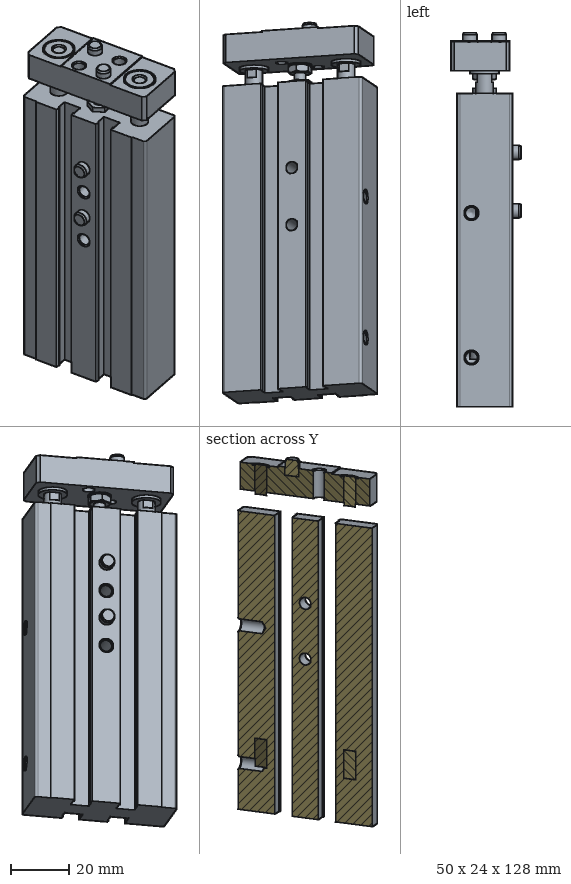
import cadquery as cq
import math


HOUSING_WIDTH = 50.0
HOUSING_DEPTH = 18.8
HOUSING_HEIGHT = 107.3
HOUSING_CORNER_RADIUS = 0.9
LAND_WIDTH = 39.0
LAND_HEIGHT = 0.32
GROOVE_SPACING = 16.1
GROOVE_MOUTH = 6.1
GROOVE_GAP = 5.6
GROOVE_LIP = 1.5
GROOVE_CHAMBER = 6.4
GROOVE_DEPTH = 5.2
HOUSING_BACK = HOUSING_DEPTH / 2
LAND_FACE = HOUSING_BACK + LAND_HEIGHT

THREAD_DIAMETER = 4.1
HOLE_MOUTH_DIAMETER = 5.0
MOUTH_CHAMFER = (HOLE_MOUTH_DIAMETER - THREAD_DIAMETER) / 2
HOLE_PITCH = 10.0
TOP_PIN_HEIGHT = 87.0
FRONT_PIN_HEIGHTS = [TOP_PIN_HEIGHT, TOP_PIN_HEIGHT - 2 * HOLE_PITCH]
FRONT_HOLE_HEIGHTS = [height - HOLE_PITCH for height in FRONT_PIN_HEIGHTS]
PIN_DIAMETER = HOLE_MOUTH_DIAMETER
PIN_PROTRUSION = 2.8
PIN_SEAT = 3.0
PIN_CHAMFER_LENGTH = 0.8
PIN_CHAMFER_WIDTH = 0.4

PORT_HEIGHTS = [16.9, 66.3]
PORT_Y = 4.5
PORT_DEPTH = 9.0
DRILL_POINT_ANGLE = 118

PLATE_WIDTH = 48.4
PLATE_BACK = 11.5
PLATE_FRONT = -8.6
PLATE_BOTTOM = 115.0
PLATE_TOP = 125.2
PLATE_STEP = 0.4
PLATE_RAISED_WIDTH = 20.1
PLATE_CORNER_CHAMFER = 1.2
PLATE_END_TOP = PLATE_TOP - PLATE_STEP
HALF_PITCH = HOLE_PITCH / 2
PLATE_PINS = [(-HALF_PITCH, HALF_PITCH), (HALF_PITCH, -HALF_PITCH)]
PLATE_HOLES = [(-HALF_PITCH, -HALF_PITCH), (HALF_PITCH, HALF_PITCH)]

COLLAR_DIAMETER = 8.0
COLLAR_THICKNESS = 0.4
NUT_ACROSS_FLATS = 7.0
NUT_ACROSS_CORNERS = NUT_ACROSS_FLATS / math.cos(math.radians(30))
NUT_CHAMFER_DIAMETER = 6.8
NUT_CHAMFER_ANGLE = 30
NUT_BOTTOM = 111.9
SCREW_DIAMETER = 4.0
SCREW_HEAD_TOP = 109.0

ROD_X = 16.5
ROD_DIAMETER = 6.0
ROD_COLLAR_DIAMETER = 10.0
ROD_COLLAR_BOTTOM = 113.9
ROD_MOUTH_DIAMETER = 11.0
ROD_FLATS = 5.0
ROD_FLATS_BOTTOM = 111.1
ROD_DIMPLE_DIAMETER = 5.0
ROD_DIMPLE_FLOOR = 4.0
ROD_DIMPLE_DEPTH = 0.5
PISTON_DIAMETER = 10.0
PISTON_BOTTOM = 16.3
PISTON_LENGTH = 10.0


def cylinder(diameter, bottom, top, x=0, y=0):
    """Upright cylinder between two heights."""
    return cq.Workplane("XY", origin=(x, y, bottom)).circle(diameter / 2).extrude(top - bottom)


def rod_blank(x):
    """Rod, piston and collar before machining; also the space that they fill."""
    blank = cylinder(ROD_DIAMETER, PISTON_BOTTOM, PLATE_END_TOP, x)
    blank = blank.union(cylinder(PISTON_DIAMETER, PISTON_BOTTOM, PISTON_BOTTOM + PISTON_LENGTH, x))
    return blank.union(cylinder(ROD_COLLAR_DIAMETER, ROD_COLLAR_BOTTOM, PLATE_END_TOP, x))


def groove(x, face):
    """T-shaped sensor groove, full height, cut into a front face this far from the centre line."""
    half_mouth = GROOVE_MOUTH / 2
    half_gap = GROOVE_GAP / 2
    half_chamber = GROOVE_CHAMBER / 2
    right_side = [
        (half_mouth, 0),
        (half_gap, GROOVE_LIP),
        (half_chamber, GROOVE_LIP),
        (half_chamber, GROOVE_DEPTH),
    ]
    left_side = [(-across, depth) for across, depth in reversed(right_side)]
    base = cq.Workplane("XY", origin=(x, -face, 0))
    return base.polyline(right_side + left_side).close().extrude(HOUSING_HEIGHT)


def port(height):
    """Drilled port with a chamfered mouth and a conical end, entering from the -X side."""
    radius = THREAD_DIAMETER / 2
    point_length = radius / math.tan(math.radians(DRILL_POINT_ANGLE / 2))
    return (
        cq.Workplane("XY", origin=(-HOUSING_WIDTH / 2, PORT_Y, height))
        .polyline([
            (0, 0),
            (0, HOLE_MOUTH_DIAMETER / 2),
            (MOUTH_CHAMFER, radius),
            (PORT_DEPTH, radius),
            (PORT_DEPTH + point_length, 0),
        ])
        .close()
        .revolve(360, (0, 0, 0), (1, 0, 0))
    )


def threaded_hole(depth):
    """Hole from Z = 0 down, with a chamfered mouth at the top."""
    return (
        cq.Workplane("XZ")
        .polyline([
            (0, 0),
            (HOLE_MOUTH_DIAMETER / 2, 0),
            (THREAD_DIAMETER / 2, -MOUTH_CHAMFER),
            (THREAD_DIAMETER / 2, -depth),
            (0, -depth),
        ])
        .close()
        .revolve(360, (0, 0, 0), (0, 1, 0))
    )


def pin():
    """Locating pin seated below Z = 0, with a chamfered tip above it."""
    body = cylinder(PIN_DIAMETER, -PIN_SEAT, PIN_PROTRUSION)
    return body.faces(">Z").edges().chamfer(PIN_CHAMFER_LENGTH, PIN_CHAMFER_WIDTH)


def pin_seat():
    """Recess that a pin sits in."""
    return cylinder(PIN_DIAMETER, -PIN_SEAT, 0)


def on_front(shape, height):
    """Turn an upright feature to point out of the housing's front face."""
    return shape.rotate((0, 0, 0), (1, 0, 0), 90).translate((0, -LAND_FACE, height))


def on_plate(shape, x, y):
    """Move an upright feature to the raised top of the plate."""
    return shape.translate((x, y, PLATE_TOP))


def make_housing():
    """Extruded housing with grooves, rod bores, air ports, front holes and pin seats."""
    body = cq.Workplane("XY").rect(HOUSING_WIDTH, HOUSING_DEPTH).extrude(HOUSING_HEIGHT)
    body = body.edges("|Z").fillet(HOUSING_CORNER_RADIUS)
    land = cq.Workplane("XY", origin=(0, -LAND_FACE / 2, 0)).rect(LAND_WIDTH, LAND_FACE)
    body = body.union(land.extrude(HOUSING_HEIGHT))
    for side in (-1, 1):
        groove_x = side * GROOVE_SPACING / 2
        body = body.cut(groove(groove_x, LAND_FACE))
        body = body.cut(groove(groove_x, HOUSING_BACK).mirror("XZ"))
        body = body.cut(rod_blank(side * ROD_X))
    for height in PORT_HEIGHTS:
        body = body.cut(port(height))
    for height in FRONT_HOLE_HEIGHTS:
        body = body.cut(on_front(threaded_hole(LAND_FACE + HOUSING_BACK), height))
    for height in FRONT_PIN_HEIGHTS:
        body = body.cut(on_front(pin_seat(), height))
    return body


def hexagon(bottom, top):
    """Upright hexagon with corners on the Y axis."""
    prism = cq.Workplane("XY").polygon(6, NUT_ACROSS_CORNERS).extrude(top - bottom)
    return prism.rotate((0, 0, 0), (0, 0, 1), 30).translate((0, 0, bottom))


def chamfered_nut(bottom, top):
    """Hexagonal nut with its corners turned down to a cone at both ends."""
    rise = (NUT_ACROSS_CORNERS - NUT_CHAMFER_DIAMETER) / 2 * math.tan(math.radians(NUT_CHAMFER_ANGLE))
    envelope = (
        cq.Workplane("XZ")
        .polyline([
            (0, bottom),
            (NUT_CHAMFER_DIAMETER / 2, bottom),
            (NUT_ACROSS_CORNERS / 2, bottom + rise),
            (NUT_ACROSS_CORNERS / 2, top - rise),
            (NUT_CHAMFER_DIAMETER / 2, top),
            (0, top),
        ])
        .close()
        .revolve(360, (0, 0, 0), (0, 1, 0))
    )
    return hexagon(bottom, top).intersect(envelope)


def make_stop_screw():
    """Collar, lock nut, shank and hexagonal head hanging below the plate."""
    collar_bottom = PLATE_BOTTOM - COLLAR_THICKNESS
    collar = cylinder(COLLAR_DIAMETER, collar_bottom, PLATE_BOTTOM)
    nut = chamfered_nut(NUT_BOTTOM, collar_bottom)
    shank = cylinder(SCREW_DIAMETER, SCREW_HEAD_TOP, NUT_BOTTOM)
    head = hexagon(HOUSING_HEIGHT, SCREW_HEAD_TOP)
    return collar.union(nut).union(shank).union(head)


def make_plate():
    """End plate with its stop screw, rod holes, through holes and pin seats."""
    depth = PLATE_BACK - PLATE_FRONT
    middle_y = (PLATE_BACK + PLATE_FRONT) / 2
    base = cq.Workplane("XY", origin=(0, middle_y, PLATE_BOTTOM))
    plate = base.rect(PLATE_WIDTH, depth).extrude(PLATE_END_TOP - PLATE_BOTTOM)
    plate = plate.edges("|Z").chamfer(PLATE_CORNER_CHAMFER)
    plate = plate.union(base.rect(PLATE_RAISED_WIDTH, depth).extrude(PLATE_TOP - PLATE_BOTTOM))
    plate = plate.union(make_stop_screw())
    mouth_depth = (ROD_MOUTH_DIAMETER - ROD_COLLAR_DIAMETER) / 2
    for x in (-ROD_X, ROD_X):
        mouth = cylinder(ROD_MOUTH_DIAMETER, PLATE_END_TOP - mouth_depth, PLATE_END_TOP, x)
        plate = plate.cut(rod_blank(x)).cut(mouth)
    for x, y in PLATE_HOLES:
        plate = plate.cut(on_plate(threaded_hole(PLATE_TOP - PLATE_BOTTOM), x, y))
    for x, y in PLATE_PINS:
        plate = plate.cut(on_plate(pin_seat(), x, y))
    return plate


def make_rod(x):
    """Rod with a piston, two wrench flats below the collar and a shallow dimple in the top end."""
    rod = rod_blank(x)
    flats_height = ROD_COLLAR_BOTTOM - ROD_FLATS_BOTTOM
    waste = cylinder(ROD_DIAMETER, ROD_FLATS_BOTTOM, ROD_COLLAR_BOTTOM, x)
    kept = cq.Workplane("XY", origin=(x, 0, ROD_FLATS_BOTTOM)).rect(ROD_DIAMETER, ROD_FLATS)
    rod = rod.cut(waste.cut(kept.extrude(flats_height)))
    dimple = cq.Solid.makeCone(ROD_DIMPLE_FLOOR / 2, ROD_DIMPLE_DIAMETER / 2, ROD_DIMPLE_DEPTH)
    return rod.cut(cq.Workplane(dimple.translate(cq.Vector(x, 0, PLATE_END_TOP - ROD_DIMPLE_DEPTH))))


housing = make_housing()
plate = make_plate()
rods = [make_rod(x) for x in (-ROD_X, ROD_X)]
front_pins = [on_front(pin(), height) for height in FRONT_PIN_HEIGHTS]
plate_pins = [on_plate(pin(), x, y) for x, y in PLATE_PINS]

bodies = [housing, plate, *rods, *front_pins, *plate_pins]
result = cq.Compound.makeCompound([body.val() for body in bodies])